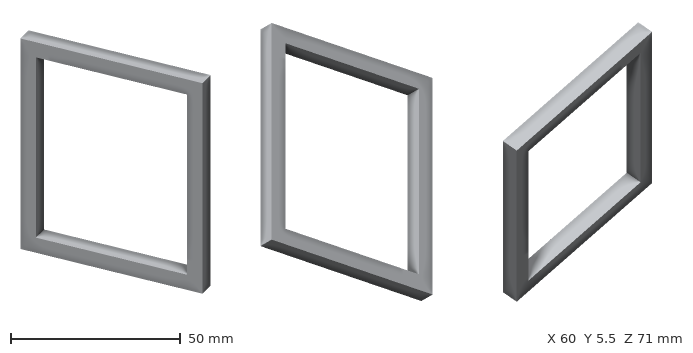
import cadquery as cq

width = 60.0
depth = 5.5
height = 71.0

bar_width = 5.1

window_width = width - 2 * bar_width
window_height = height - 2 * bar_width

frame = cq.Workplane("XY").box(width, depth, height)
window = cq.Workplane("XY").box(window_width, depth, window_height)

result = frame.cut(window)